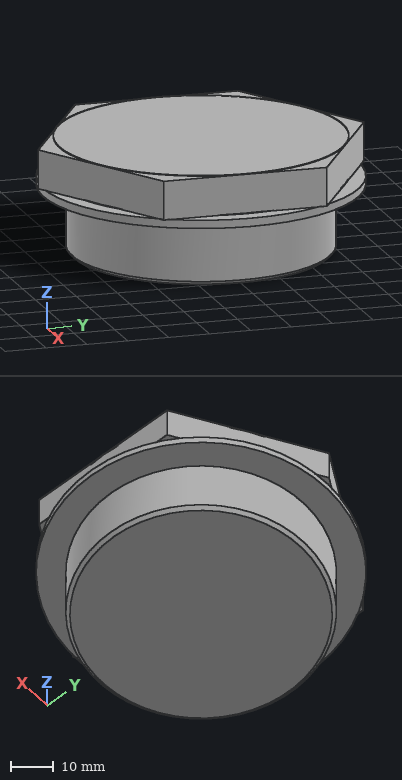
import cadquery as cq

hex_across_corners = 79.7
hex_height = 9.4
face_height = 0.15
flange_diameter = 77.0
flange_thickness = 2.0
plug_diameter = 63.1
plug_length = 15.8
plug_chamfer = 0.95

hex_across_flats = hex_across_corners * 3 ** 0.5 / 2
flange_bottom = plug_length
lower_pad_bottom = flange_bottom + flange_thickness
hex_bottom = lower_pad_bottom + face_height
upper_pad_bottom = hex_bottom + hex_height


def disc(diameter, bottom, height):
    """Round disc about the Z axis, standing on the given level."""
    return cq.Workplane("XY").workplane(offset=bottom).circle(diameter / 2).extrude(height)


plug = disc(plug_diameter, 0, plug_length).faces("<Z").edges().chamfer(plug_chamfer)

flange = disc(flange_diameter, flange_bottom, flange_thickness)

head = (
    cq.Workplane("XY")
    .workplane(offset=hex_bottom)
    .transformed(rotate=(0, 0, 90))
    .polygon(6, hex_across_corners)
    .extrude(hex_height)
)
lower_pad = disc(hex_across_flats, lower_pad_bottom, face_height)
upper_pad = disc(hex_across_flats, upper_pad_bottom, face_height)

result = plug.union(flange).union(lower_pad).union(head).union(upper_pad)